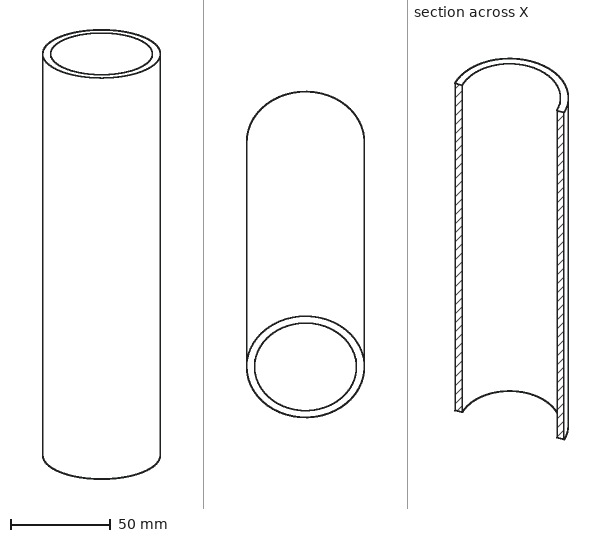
import cadquery as cq

OUTER_DIAMETER = 59.0
WALL_THICKNESS = 4.0
TUBE_LENGTH = 220.0

INNER_DIAMETER = OUTER_DIAMETER - 2 * WALL_THICKNESS


def make_tube():
    """Plain round tube standing on the XY plane, open at both ends."""
    return (
        cq.Workplane("XY")
        .circle(OUTER_DIAMETER / 2)
        .circle(INNER_DIAMETER / 2)
        .extrude(TUBE_LENGTH)
    )


result = make_tube()